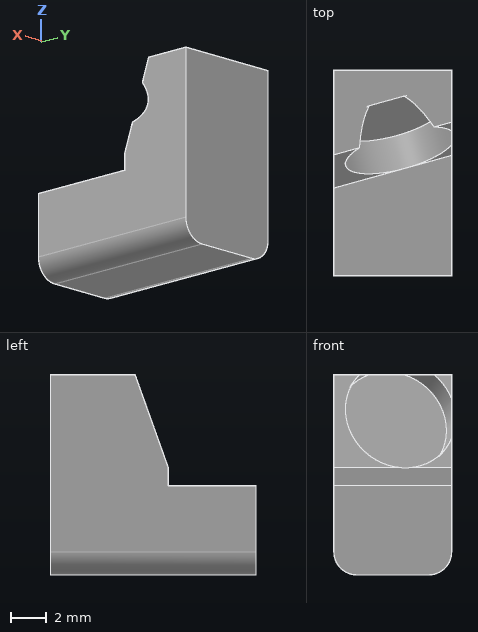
import cadquery as cq
import math

width = 6.6
length = 11.5
height = 11.2
bottom_edge_radius = 1.3

shelf_height = 5.0
slope_start_height = 6.0
wall_left_y = 4.9
wall_skew = 15.5
wall_lean = 19.0

pocket_diameter = 6.36
pocket_depth = 2.0
pocket_center_x = 3.73
pocket_center_height = 9.0


def make_block():
    """Block with its two lower lengthwise edges rounded."""
    block = cq.Workplane("XY").box(width, length, height, centered=False)
    return block.faces("<Z").edges("|Y").fillet(bottom_edge_radius)


def make_front_cut():
    """Volume above the shelf and in front of the skewed, leaning wall."""
    overrun = length
    lean_run = (height - slope_start_height) * math.tan(math.radians(wall_lean))
    profile = (
        cq.Workplane("YZ")
        .moveTo(-overrun, shelf_height)
        .lineTo(0, shelf_height)
        .lineTo(0, slope_start_height)
        .lineTo(lean_run, height)
        .lineTo(-overrun, height)
        .close()
    )
    cut = profile.extrude(width + overrun, both=True)
    return cut.rotate((0, 0, 0), (0, 0, 1), wall_skew).translate((0, wall_left_y, 0))


def make_pocket():
    """Cylinder whose floor lies parallel to the sloped face at the pocket depth."""
    skew = math.radians(wall_skew)
    lean = math.radians(wall_lean)
    outward = cq.Vector(
        math.sin(skew) * math.cos(lean),
        -math.cos(skew) * math.cos(lean),
        math.sin(lean),
    )
    lean_run = (pocket_center_height - slope_start_height) * math.tan(lean)
    center_y = wall_left_y + pocket_center_x * math.tan(skew) + lean_run / math.cos(skew)
    mouth_center = cq.Vector(pocket_center_x, center_y, pocket_center_height)
    floor_center = mouth_center - outward * pocket_depth
    return cq.Workplane(
        cq.Solid.makeCylinder(pocket_diameter / 2, 2 * pocket_depth, floor_center, outward)
    )


result = make_block().cut(make_front_cut()).cut(make_pocket())